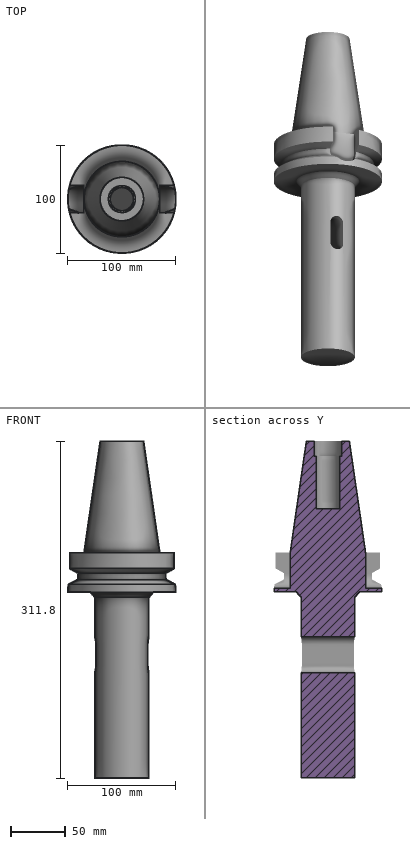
import cadquery as cq

total_height = 311.8
gauge_z = 209.8
flange_top_z = 208.5
flange_bottom_z = 172.0
collar_height = 5.0

taper_large_dia = 69.8
taper_small_dia = 40.2
flange_dia = 100.0
groove_dia = 85.0
shank_dia = 50.0
collar_dia = 58.5

groove_top_z = 194.0
groove_bottom_z = 179.3
groove_wall_height = 4.5

keyway_width = 25.5
keyway_bottom_z = 176.0
keyway_floor_x = 35.2

slot_width = 12.5
slot_length = 32.5
slot_center_z = 114.0

pilot_dia = 25.0
pilot_depth = 13.7
thread_dia = 21.5
thread_depth = 62.5


def turned_body():
    """Revolve the taper, grooved flange, collar and shank about Z."""
    profile = [
        (0, 0),
        (shank_dia / 2, 0),
        (shank_dia / 2, flange_bottom_z - collar_height),
        (collar_dia / 2, flange_bottom_z),
        (flange_dia / 2, flange_bottom_z),
        (flange_dia / 2, groove_bottom_z),
        (groove_dia / 2, groove_bottom_z + groove_wall_height),
        (groove_dia / 2, groove_top_z - groove_wall_height),
        (flange_dia / 2, groove_top_z),
        (flange_dia / 2, flange_top_z),
        (taper_large_dia / 2, flange_top_z),
        (taper_large_dia / 2, gauge_z),
        (taper_small_dia / 2, total_height),
        (0, total_height),
    ]
    return cq.Workplane("XZ").polyline(profile).close().revolve(360, (0, 0), (0, 1))


def keyway_cutter(side):
    """Round-bottomed keyway, open at the flange top; side is -1 or +1 along X."""
    radius = keyway_width / 2
    arc_z = keyway_bottom_z + radius
    return (
        cq.Workplane("YZ", origin=(side * keyway_floor_x, 0, 0))
        .moveTo(-radius, flange_top_z)
        .lineTo(-radius, arc_z)
        .threePointArc((0, keyway_bottom_z), (radius, arc_z))
        .lineTo(radius, flange_top_z)
        .close()
        .extrude(side * flange_dia / 2)
    )


def drift_slot_cutter():
    """Upright rounded slot passing right through the shank."""
    return (
        cq.Workplane("YZ", origin=(0, 0, slot_center_z))
        .slot2D(slot_length, slot_width, 90)
        .extrude(shank_dia, both=True)
    )


def bore_cutter(diameter, depth):
    """Blind round hole down from the small end of the taper."""
    return cq.Workplane("XY", origin=(0, 0, total_height)).circle(diameter / 2).extrude(-depth)


result = turned_body()
for keyway_side in (-1, 1):
    result = result.cut(keyway_cutter(keyway_side))
result = result.cut(drift_slot_cutter())
result = result.cut(bore_cutter(pilot_dia, pilot_depth))
result = result.cut(bore_cutter(thread_dia, thread_depth))